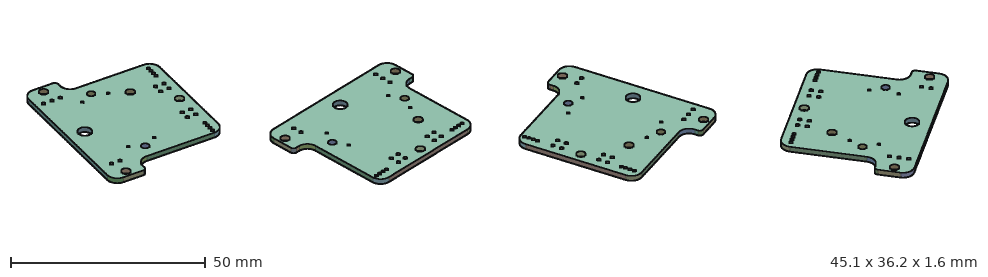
import cadquery as cq

base_width = 45.1
body_width = 35.2
plate_depth = 36.2
thickness = 1.6
base_depth = 9.95
corner_radius = 2.98
ear_radius = 1.0

half_base = base_width / 2
half_body = body_width / 2
back = plate_depth / 2
front = -back
shoulder = front + base_depth

main_hole = 3.8
mount_hole = 2.5
post_hole = 2.2
pad_hole = 1.0
header_hole = 0.9
pin_hole = 0.75

back_row_y = 15.3
left_header_x = -13.65
right_header_x = 14.5
header_count = 4
header_pitch = 1.25
pad_pitch = 2.53
quad_side = 2
left_quad_x = -6.5
right_quad_x = 6.85
quad_y = back_row_y - pad_pitch / 2
offset_mount = (-9.0, 5.95)
pin_x = 11.45
pin_rows = (0.75, -6.95)
post_x = 13.5
post_y = -3.05
ear_hole_x = 20.53
front_row_y = -13.1
left_pads = (-16.05, -13.25)
left_pad_count = 3
right_pads = (15.75, -13.25)
right_pad_count = 2


def grid(center, columns, rows, pitch):
    """Return the points of an evenly spaced grid around a center."""
    x, y = center
    return [
        (x + (i - (columns - 1) / 2) * pitch, y + (j - (rows - 1) / 2) * pitch)
        for i in range(columns)
        for j in range(rows)
    ]


def make_plate():
    """Extrude the stepped outline and round its corners."""
    base = cq.Workplane("XY").box(base_width, base_depth, thickness)
    base = base.translate((0, front + base_depth / 2, 0))
    body = cq.Workplane("XY").box(body_width, plate_depth, thickness)
    plate = base.union(body)

    def round_corners(solid, x, y, radius):
        for side in (-1, 1):
            corner = cq.selectors.NearestToPointSelector((side * x, y, 0))
            solid = solid.edges("|Z").edges(corner).fillet(radius)
        return solid

    plate = round_corners(plate, half_body, back, corner_radius)
    plate = round_corners(plate, half_base, front, corner_radius)
    plate = round_corners(plate, half_body, shoulder, corner_radius)
    return round_corners(plate, half_base, shoulder, ear_radius)


def drill(plate, points, diameter):
    """Cut through holes at the given points."""
    underside = cq.Workplane("XY").workplane(offset=-thickness / 2)
    cutter = underside.pushPoints(points).circle(diameter / 2).extrude(thickness)
    return plate.cut(cutter)


result = make_plate()

result = drill(result, [(0, front_row_y)], main_hole)
mounts = [(0, back_row_y), offset_mount, (-ear_hole_x, front_row_y), (ear_hole_x, front_row_y)]
result = drill(result, mounts, mount_hole)

result = drill(result, [(-post_x, post_y), (post_x, post_y)], post_hole)
pins = [(side * pin_x, y) for side in (-1, 1) for y in pin_rows]
result = drill(result, pins, pin_hole)

for header_x in (left_header_x, right_header_x):
    header = grid((header_x, back_row_y), header_count, 1, header_pitch)
    result = drill(result, header, header_hole)

for quad_x in (left_quad_x, right_quad_x):
    result = drill(result, grid((quad_x, quad_y), quad_side, quad_side, pad_pitch), pad_hole)

result = drill(result, grid(left_pads, 1, left_pad_count, pad_pitch), pad_hole)
result = drill(result, grid(right_pads, 1, right_pad_count, pad_pitch), pad_hole)